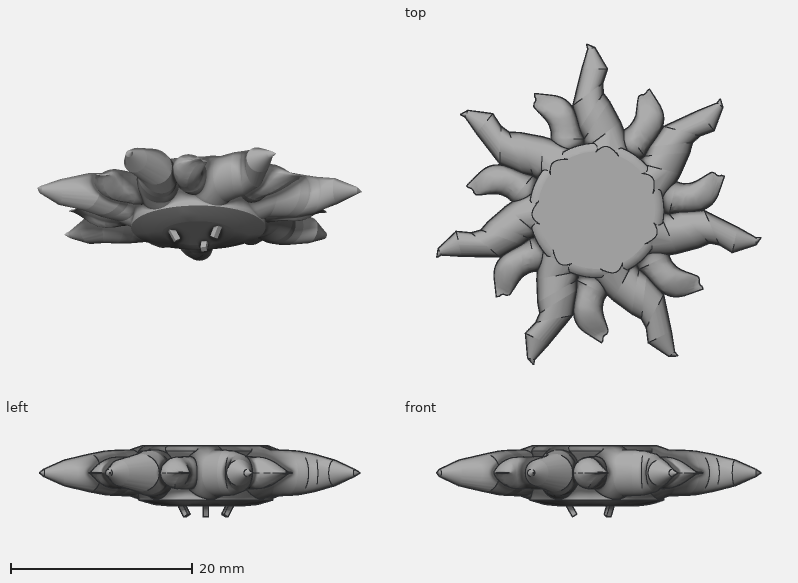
import cadquery as cq
import math


RAY_COUNT = 7
RAY_PITCH = 360 / RAY_COUNT

HUB_RADIUS = 7.42
HUB_HALF_HEIGHT = 3.0
RIM_WIDTH = 0.94
RIM_HEIGHT = 0.6
RIM_SHOULDER = (0.36, 0.21)
DOME_DEPTH = 0.66
DOME_FLAT_RADIUS = 4.0

PRONG_COUNT = 3
PRONG_SIDE = 0.6
PRONG_RADIUS = 3.02
PRONG_LEAN = 30
PRONG_DROP = 1.2
PRONG_ROOT = 0.8

RAY_SECTIONS = [
    ((-2.83, 5.2), (4.53, 5.2)),
    ((-1.43, 6.7), (2.65, 9.75)),
    ((-1.4, 7.87), (1.45, 12.0)),
    ((-1.9, 8.86), (0.75, 12.95)),
    ((-2.65, 11.57), (0.7, 14.05)),
    ((-1.65, 15.63), (1.22, 15.63)),
    ((-1.0, 17.8), (-0.2, 18.0)),
]
RAY_TIP_SECTION = ((-1.13, 18.32), (-1.05, 18.35))

FLAME_SECTIONS = [
    ((3.05, 8.9), (5.35, 5.95), 1.8),
    ((4.15, 10.1), (6.6, 7.9), 1.75),
    ((4.45, 11.5), (7.4, 10.4), 1.15),
    ((4.55, 12.25), (6.75, 12.0), 0.35),
    ((4.65, 12.6), (5.85, 13.4), 0.08),
]
FLAME_ROOT = 2.5
FLAME_NOTCH_CENTRE = (5.05, 13.3)
FLAME_NOTCH_RADIUS = 0.52


def section_plane(start, end):
    """Upright plane through a plan line, centred on it, facing outwards, and half the line's length."""
    span_x = end[0] - start[0]
    span_y = end[1] - start[1]
    centre = ((start[0] + end[0]) / 2, (start[1] + end[1]) / 2, 0)
    plane = cq.Plane(origin=centre, xDir=(span_x, span_y, 0), normal=(-span_y, span_x, 0))
    return plane, math.hypot(span_x, span_y) / 2


def circle_section(start, end):
    plane, radius = section_plane(start, end)
    return cq.Workplane(plane).circle(radius).wires().val()


def oval_section(start, end, half_height):
    plane, half_width = section_plane(start, end)
    return cq.Workplane(plane).ellipse(half_width, half_height).wires().val()


def make_disc():
    """Disc with a rounded top rim and a shallow dome underneath."""
    rise = DOME_DEPTH
    run = HUB_RADIUS - DOME_FLAT_RADIUS
    dome_radius = (run**2 + rise**2) / (2 * rise)
    half_angle = math.asin(run / dome_radius) / 2
    dome_bottom = -HUB_HALF_HEIGHT - DOME_DEPTH
    dome_middle = (
        DOME_FLAT_RADIUS + dome_radius * math.sin(half_angle),
        dome_bottom + dome_radius * (1 - math.cos(half_angle)),
    )
    rim_middle = (HUB_RADIUS - RIM_SHOULDER[0], HUB_HALF_HEIGHT - RIM_SHOULDER[1])
    return (
        cq.Workplane("XZ")
        .moveTo(0, dome_bottom)
        .lineTo(DOME_FLAT_RADIUS, dome_bottom)
        .threePointArc(dome_middle, (HUB_RADIUS, -HUB_HALF_HEIGHT))
        .lineTo(HUB_RADIUS, HUB_HALF_HEIGHT - RIM_HEIGHT)
        .threePointArc(rim_middle, (HUB_RADIUS - RIM_WIDTH, HUB_HALF_HEIGHT))
        .lineTo(0, HUB_HALF_HEIGHT)
        .close()
        .revolve(360, (0, 0, 0), (0, 1, 0))
    )


def make_ray():
    """Bent ray of straight tapering stretches with a small hooked tip, flush with the hub's faces."""
    body = cq.Solid.makeLoft([circle_section(*ends) for ends in RAY_SECTIONS], True)
    tip = cq.Solid.makeLoft([circle_section(*ends) for ends in (RAY_SECTIONS[-1], RAY_TIP_SECTION)], True)
    reach = 4 * max(end[1] for end in RAY_TIP_SECTION)
    slab = cq.Workplane("XY").box(reach, reach, 2 * HUB_HALF_HEIGHT)
    return cq.Workplane(obj=body).union(cq.Workplane(obj=tip)).intersect(slab)


def make_prong():
    """Square bar leaning in under the hub, on the -X side."""
    lean = math.radians(PRONG_LEAN)
    foot_corner = PRONG_SIDE / 2 * math.sin(lean)
    length = (PRONG_DROP - foot_corner) / math.cos(lean)
    return (
        cq.Workplane("XY")
        .rect(PRONG_SIDE, PRONG_SIDE)
        .extrude(PRONG_ROOT + length)
        .translate((0, 0, -length))
        .rotate((0, 0, 0), (0, 1, 0), -PRONG_LEAN)
        .translate((-PRONG_RADIUS, 0, -HUB_HALF_HEIGHT - DOME_DEPTH))
    )


def make_flame():
    """Curved flame, oval at the root and thinning to a notched edge at the tip."""
    sections = [oval_section(*section) for section in FLAME_SECTIONS]
    curved = cq.Solid.makeLoft(sections, False)
    root_plane, root_half_width = section_plane(*FLAME_SECTIONS[0][:2])
    root = cq.Workplane(root_plane).ellipse(root_half_width, FLAME_SECTIONS[0][2]).extrude(-FLAME_ROOT)
    notch = (
        cq.Workplane("XY")
        .center(*FLAME_NOTCH_CENTRE)
        .circle(FLAME_NOTCH_RADIUS)
        .extrude(HUB_HALF_HEIGHT, both=True)
    )
    return root.union(cq.Workplane(obj=curved)).cut(notch)


def turned(part, angle):
    return part.rotate((0, 0, 0), (0, 0, 1), angle)


ray = make_ray()
prong = make_prong()
hub = make_disc()
for index in range(RAY_COUNT):
    hub = hub.union(turned(ray, index * RAY_PITCH))
for index in range(PRONG_COUNT):
    hub = hub.union(turned(prong, index * 360 / PRONG_COUNT))

seated_flame = make_flame().cut(hub)
flames = [turned(seated_flame, index * RAY_PITCH).val() for index in range(RAY_COUNT)]

result = cq.Compound.makeCompound([hub.val(), *flames])